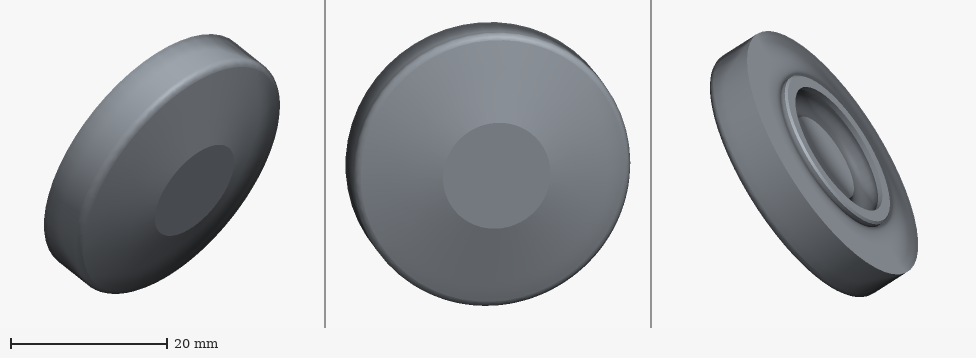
import cadquery as cq

disc_radius = 18.0
total_length = 10.0
boss_radius = 11.0
boss_height = 1.0
boss_chamfer = 0.3
cone_base_x = 7.27
cone_tip_radius = 7.0
rim_fillet = 1.0

groove_outer_radius = 9.15
pad_radius = 6.1
lip_depth = 0.7
pad_depth = 2.25
groove_depth = 3.28
groove_middle_radius = (groove_outer_radius + pad_radius) / 2


def half_profile():
    """Closed section above the axis: x along the axis, y as radius."""
    return (
        cq.Workplane("XY")
        .moveTo(pad_depth, 0)
        .lineTo(pad_depth, pad_radius)
        .threePointArc((groove_depth, groove_middle_radius), (lip_depth, groove_outer_radius))
        .lineTo(0, groove_outer_radius)
        .lineTo(0, boss_radius - boss_chamfer)
        .lineTo(boss_chamfer, boss_radius)
        .lineTo(boss_height, boss_radius)
        .lineTo(boss_height, disc_radius)
        .lineTo(cone_base_x, disc_radius)
        .lineTo(total_length, cone_tip_radius)
        .lineTo(total_length, 0)
        .close()
    )


def round_rim(body):
    """Round the edge between the cylindrical rim and the cone."""
    margin = 0.35
    rim_edge = cq.selectors.BoxSelector(
        (cone_base_x - margin, -disc_radius - margin, -disc_radius - margin),
        (cone_base_x + margin, disc_radius + margin, disc_radius + margin),
        boundingbox=True,
    )
    return body.edges(rim_edge).fillet(rim_fillet)


body = half_profile().revolve(360, (0, 0, 0), (1, 0, 0))
result = round_rim(body)